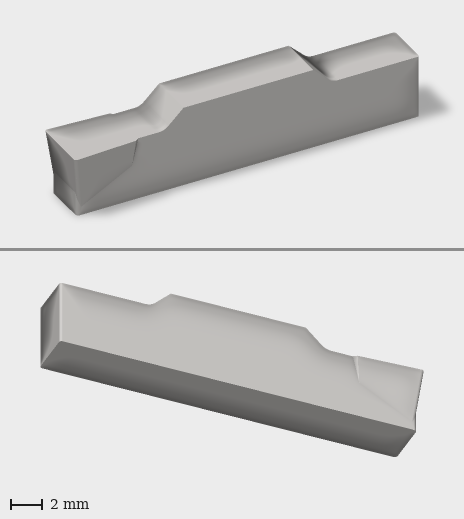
import cadquery as cq
import math

length = 24.92
overall_height = 5.78
rake_height = 4.49

shank_width = 3.25
front_corner_radius = 0.22
rear_corner_radius = 0.17

pad_front = 8.0
pad_rear = 17.3
ramp_run = 1.37
ramp_foot_radius = 1.0

edge_width = 4.09
front_clearance = math.tan(math.radians(7.0))
side_taper = 0.054
side_clearance = 0.1
shoulder_start = 4.5
shoulder_slope = 0.1
shoulder_inset = 0.3
shoulder_run = 0.42
head_bottom = 0.5
nose_radius = 0.2

clearance_depth = 2.82
shank_front = clearance_depth * front_clearance


def make_shank():
    """Side profile of shank and pad, extruded across the width."""
    profile = [
        (shank_front, 0),
        (length, 0),
        (length, rake_height),
        (pad_rear + ramp_run, rake_height),
        (pad_rear, overall_height),
        (pad_front, overall_height),
        (pad_front - ramp_run, rake_height),
        (shank_front, rake_height),
    ]
    shank = cq.Workplane("YZ").polyline(profile).close().extrude(shank_width / 2, both=True)
    for foot in (pad_front - ramp_run, pad_rear + ramp_run):
        foot_edge = cq.selectors.NearestToPointSelector((0, foot, rake_height))
        shank = shank.edges(foot_edge).fillet(ramp_foot_radius)
    shank = shank.faces("<Y").edges("|Z").fillet(front_corner_radius)
    return shank.faces(">Y").edges("|Z").fillet(rear_corner_radius)


def head_outline(z):
    """Horizontal section of the flared head at height z, as a wire."""
    depth = rake_height - z
    front = depth * front_clearance
    shoulder = shoulder_start - depth * shoulder_slope

    def half_width(y):
        return edge_width / 2 - side_taper * y - side_clearance * depth

    right_side = [
        (half_width(front), front),
        (half_width(shoulder), shoulder),
        (half_width(shoulder) - shoulder_inset, shoulder + shoulder_run),
    ]
    left_side = [(-x, y) for x, y in reversed(right_side)]
    points = [cq.Vector(x, y, z) for x, y in right_side + left_side]
    return cq.Wire.makePolygon(points, close=True)


def make_head():
    """Flared cutting head with rounded nose corners."""
    sections = [head_outline(head_bottom), head_outline(rake_height)]
    head = cq.Workplane(cq.Solid.makeLoft(sections, True))
    for side in (-1, 1):
        mid_depth = (rake_height - head_bottom) / 2
        corner = (
            side * (edge_width / 2 - side_clearance * mid_depth),
            mid_depth * front_clearance,
            rake_height - mid_depth,
        )
        head = head.edges(cq.selectors.NearestToPointSelector(corner)).fillet(nose_radius)
    return head


result = make_shank().union(make_head()).clean()